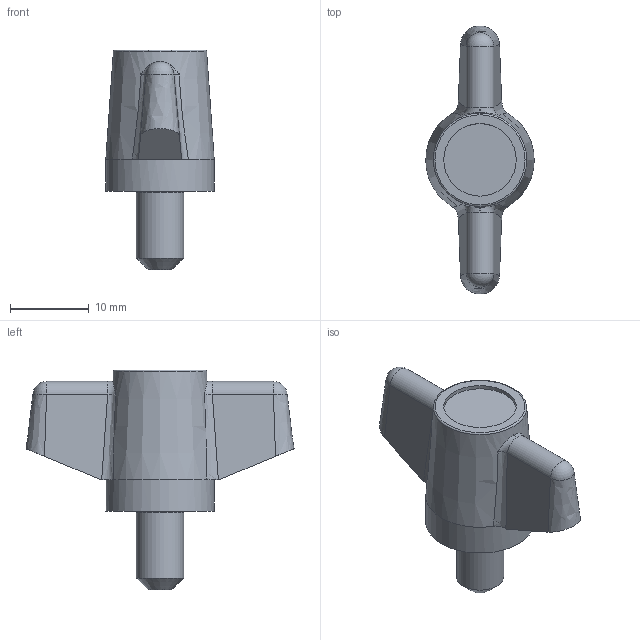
import cadquery as cq
import math

collar_radius = 13.75 / 2
collar_height = 4.0
hub_top = 17.9
hub_draft = math.radians(4)
rim_rounding = 0.2
recess_diameter = 9.19
recess_depth = 0.5

pin_diameter = 6.0
pin_length = 10.0
pin_chamfer = 1.5
pin_root_fillet = 0.2

wing_span = 34.0
crown_radius = 1.76
crown_top = 16.45
side_draft = math.radians(5.2)
end_center_y = 14.38
tip_height = 7.93
heel_y = 7.55
flare_radius_top = 1.12
flare_radius_base = 1.8

crown_axis_z = crown_top - crown_radius
blade_top = crown_axis_z + crown_radius * math.sin(side_draft)
blade_top_half_width = crown_radius * math.cos(side_draft)


def blade_half_width(z):
    return blade_top_half_width + (blade_top - z) * math.tan(side_draft)


def hub_radius(z):
    return collar_radius - (z - collar_height) * math.tan(hub_draft)


tip_center_y = wing_span / 2 - blade_half_width(tip_height)
end_lean = (tip_center_y - end_center_y) / (blade_top - tip_height)
base_end_center_y = end_center_y + end_lean * (blade_top - collar_height)


def blade_outline(workplane, half_width, center_y):
    """Outline from the hub axis to a round end centred at center_y."""
    return (
        workplane.moveTo(-half_width, 0)
        .lineTo(-half_width, center_y)
        .threePointArc((0, center_y + half_width), (half_width, center_y))
        .lineTo(half_width, 0)
        .close()
    )


def make_hub():
    return (
        cq.Workplane("XY", origin=(0, 0, collar_height))
        .circle(collar_radius)
        .workplane(offset=hub_top - collar_height)
        .circle(hub_radius(hub_top))
        .loft(ruled=True)
    )


def flare_center(z, flare_radius):
    """Centre of the concave arc tangent to the blade side and to the hub."""
    x = blade_half_width(z) + flare_radius
    y = math.sqrt((hub_radius(z) + flare_radius) ** 2 - x**2)
    return x, y


def flare_outline(workplane, z, flare_radius):
    """Outline of the blade root, widening through concave arcs into the hub."""
    center_x, center_y = flare_center(z, flare_radius)
    hub_angle = math.atan2(center_y, center_x)
    blade_x = blade_half_width(z)
    hub_x = hub_radius(z) * math.cos(hub_angle)
    hub_y = hub_radius(z) * math.sin(hub_angle)
    mid_x = center_x - flare_radius * math.cos(hub_angle / 2)
    mid_y = center_y - flare_radius * math.sin(hub_angle / 2)
    return (
        workplane.moveTo(0, 0)
        .lineTo(hub_x, hub_y)
        .threePointArc((mid_x, mid_y), (blade_x, center_y))
        .lineTo(-blade_x, center_y)
        .threePointArc((-mid_x, mid_y), (-hub_x, hub_y))
        .close()
    )


def make_blade():
    base = cq.Workplane("XY", origin=(0, 0, collar_height))
    base = blade_outline(base, blade_half_width(collar_height), base_end_center_y)
    top = base.workplane(offset=blade_top - collar_height)
    return blade_outline(top, blade_top_half_width, end_center_y).loft(ruled=True)


def make_crown():
    """Half-round ridge along the blade top, closed by a ball at the tip."""
    ridge_plane = cq.Workplane("XZ", origin=(0, 0, crown_axis_z))
    ridge = ridge_plane.circle(crown_radius).extrude(-end_center_y)
    ball = cq.Workplane("XY", origin=(0, end_center_y, crown_axis_z)).sphere(crown_radius)
    above_blade = cq.Workplane("XY", origin=(0, 0, blade_top)).box(
        wing_span, 2 * wing_span, hub_top, centered=(True, True, False)
    )
    return ridge.union(ball).intersect(above_blade)


def make_flare():
    """Blade root below the crown."""
    base = cq.Workplane("XY", origin=(0, 0, collar_height))
    base = flare_outline(base, collar_height, flare_radius_base)
    top = base.workplane(offset=blade_top - collar_height)
    return flare_outline(top, blade_top, flare_radius_top).loft(ruled=True)


def make_crown_flare():
    """Crown profile swept around the concave root arcs until it meets the hub."""
    center_x, center_y = flare_center(blade_top, flare_radius_top)
    sweep_angle = math.degrees(math.atan2(center_y, center_x))
    arc_mid_angle = (math.pi / 2 + side_draft) / 2
    profile = (
        cq.Workplane("XZ", origin=(center_x, center_y, 0))
        .moveTo(-flare_radius_top, blade_top)
        .threePointArc(
            (
                -center_x + crown_radius * math.cos(arc_mid_angle),
                crown_axis_z + crown_radius * math.sin(arc_mid_angle),
            ),
            (-center_x, crown_top),
        )
        .lineTo(-hub_radius(hub_top), crown_top)
        .lineTo(-hub_radius(hub_top), blade_top)
        .close()
    )
    swept = profile.revolve(sweep_angle, (0, 0, 0), (0, 1, 0))
    right_half = cq.Workplane("XY", origin=(wing_span / 2, 0, 0)).box(wing_span, wing_span, 2 * wing_span)
    half_flare = swept.intersect(right_half)
    return half_flare.union(half_flare.mirror("YZ"))


def make_wing():
    """Wing on the +Y side, with a flat bottom level with the collar top."""
    return make_blade().union(make_crown()).union(make_flare()).union(make_crown_flare())


def make_underside_cutter():
    """Wedge that slopes the wing underside up from the heel to the tip."""
    slope = (tip_height - collar_height) / (wing_span / 2 - heel_y)
    far_y = wing_span
    far_z = collar_height + slope * (far_y - heel_y)
    return (
        cq.Workplane("YZ")
        .polyline([(heel_y, collar_height), (far_y, far_z), (far_y, 0), (heel_y, 0)])
        .close()
        .extrude(collar_radius, both=True)
    )


def both_sides(body):
    return body.union(body.rotate((0, 0, 0), (0, 0, 1), 180))


def make_head():
    """Hub and wings blended together, with the sloped undersides cut."""
    head = make_hub().union(both_sides(make_wing()))
    return head.cut(both_sides(make_underside_cutter()))


def make_collar():
    return cq.Workplane("XY").circle(collar_radius).extrude(collar_height)


def make_pin():
    """Chamfered pin with a concave fillet against the collar."""
    pin_radius = pin_diameter / 2
    mid_offset = pin_root_fillet * (1 - math.sqrt(0.5))
    return (
        cq.Workplane("XZ")
        .lineTo(pin_radius + pin_root_fillet, 0)
        .threePointArc((pin_radius + mid_offset, -mid_offset), (pin_radius, -pin_root_fillet))
        .lineTo(pin_radius, pin_chamfer - pin_length)
        .lineTo(pin_radius - pin_chamfer, -pin_length)
        .lineTo(0, -pin_length)
        .close()
        .revolve(360, (0, 0, 0), (0, 1, 0))
    )


def make_recess():
    return cq.Workplane("XY", origin=(0, 0, hub_top)).circle(recess_diameter / 2).extrude(-recess_depth)


head = make_head().faces(">Z").edges().fillet(rim_rounding)
result = head.union(make_collar()).union(make_pin()).cut(make_recess())